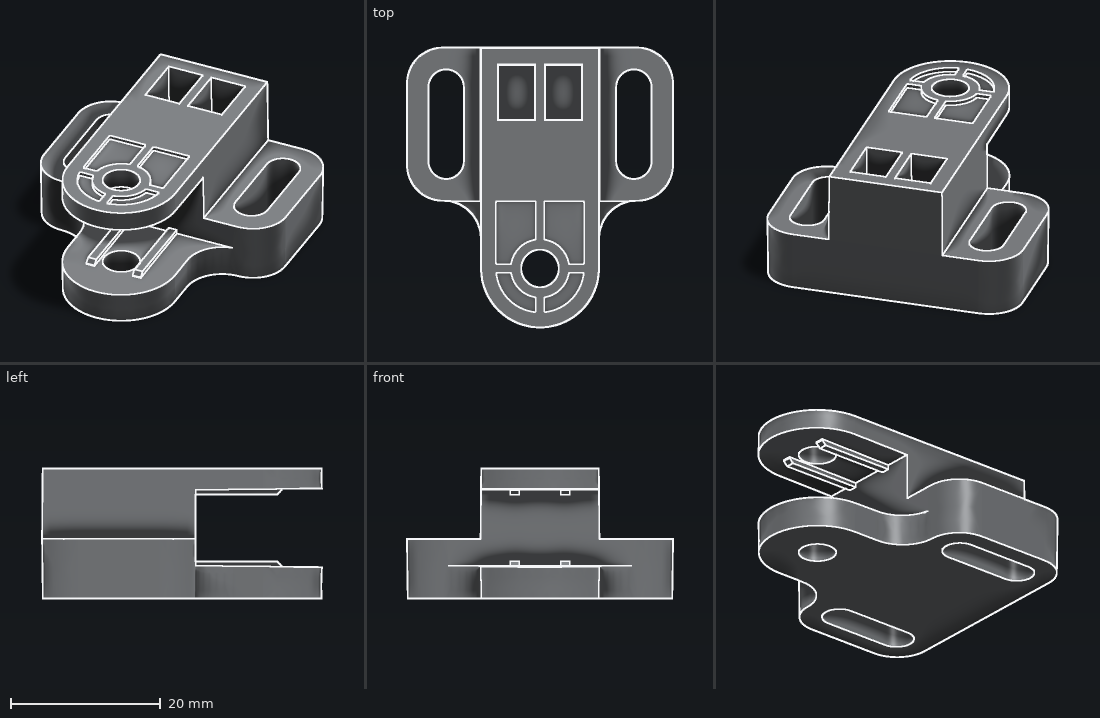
import cadquery as cq
import math


flange_height = 8.0
total_height = 17.4

flange_draft = 0.75
block_draft = 0.5

arm_radius = 7.95
bore_diameter = 5.0
back_y = 29.51

ear_half_width = 17.78
ear_front_y = 9.02
ear_corner_radius = 4.8
blend_radius = ear_half_width - ear_corner_radius - arm_radius
slot_offset_x = 12.53
slot_width = 4.7
slot_length = 14.6

gap_wall_y = 9.0
gap_wall_bottom = 4.4
gap_wall_top = 14.53
gap_draft = 0.6
gap_depth = 20.0

rail_inner_x = 2.8
rail_width = 1.2
rail_end_y = -bore_diameter / 2
rail_chamfer = 0.6
lower_rail_top = 4.98
upper_rail_bottom = 13.9
rail_embed = 0.5

pocket_inner_x = 0.63
pocket_width = 5.0
pocket_length = 7.45
pocket_back_margin = 2.27
pocket_draft = 0.5
pocket_depth = total_height - flange_height

recess_radius = 5.88
recess_depth = 0.6
recess_rib_width = 1.1
recess_hub_radius = 3.9
recess_corner_radius = 0.2


def tongue(radius, end_y):
    """Outline with a half-round front end centred on the bore and a square back end."""
    return (
        cq.Workplane("XY")
        .moveTo(-radius, 0)
        .threePointArc((0, -radius), (radius, 0))
        .lineTo(radius, end_y)
        .lineTo(-radius, end_y)
        .close()
    )


def make_flange():
    """Base plate: rounded ears blended into the lower arm, narrowing downward."""
    corner_x = ear_half_width - ear_corner_radius
    corner_front_y = ear_front_y + ear_corner_radius
    corner_back_y = back_y - ear_corner_radius
    blend_start_y = ear_front_y - blend_radius
    return (
        cq.Workplane("XY", origin=(0, 0, flange_height))
        .moveTo(-arm_radius, 0)
        .threePointArc((0, -arm_radius), (arm_radius, 0))
        .lineTo(arm_radius, blend_start_y)
        .tangentArcPoint((corner_x, ear_front_y), relative=False)
        .tangentArcPoint((ear_half_width, corner_front_y), relative=False)
        .lineTo(ear_half_width, corner_back_y)
        .tangentArcPoint((corner_x, back_y), relative=False)
        .lineTo(-corner_x, back_y)
        .tangentArcPoint((-ear_half_width, corner_back_y), relative=False)
        .lineTo(-ear_half_width, corner_front_y)
        .tangentArcPoint((-corner_x, ear_front_y), relative=False)
        .tangentArcPoint((-arm_radius, blend_start_y), relative=False)
        .close()
        .extrude(-flange_height, taper=flange_draft)
    )


def make_block():
    """Central block and upper arm, narrowing upward from the flange top."""
    block = tongue(arm_radius, back_y).extrude(total_height - flange_height, taper=block_draft)
    return block.translate((0, 0, flange_height))


def make_gap():
    """Wedge that separates the arms in front of the block."""
    open_y = gap_wall_y - gap_depth
    spread = gap_depth * math.tan(math.radians(gap_draft))
    return (
        cq.Workplane("YZ")
        .moveTo(gap_wall_y, gap_wall_bottom)
        .lineTo(gap_wall_y, gap_wall_top)
        .lineTo(open_y, gap_wall_top + spread)
        .lineTo(open_y, gap_wall_bottom - spread)
        .close()
        .extrude(ear_half_width, both=True)
    )


def make_rail(crest_z, root_z, side):
    """Straight rail with a 45 degree front end, running from the gap wall to the front of the bore."""
    rise = math.copysign(rail_chamfer, crest_z - root_z)
    rail = (
        cq.Workplane("YZ")
        .moveTo(gap_wall_y + rail_embed, root_z)
        .lineTo(gap_wall_y + rail_embed, crest_z)
        .lineTo(rail_end_y + rail_chamfer, crest_z)
        .lineTo(rail_end_y, crest_z - rise)
        .lineTo(rail_end_y, root_z)
        .close()
        .extrude(rail_width)
    )
    start_x = rail_inner_x if side > 0 else -rail_inner_x - rail_width
    return rail.translate((start_x, 0, 0))


def make_slots():
    """Mounting slots through both ears."""
    return (
        cq.Workplane("XY")
        .pushPoints([(side * slot_offset_x, (ear_front_y + back_y) / 2) for side in (-1, 1)])
        .slot2D(slot_length, slot_width, 90)
        .extrude(flange_height)
    )


def make_pockets():
    """Pair of blind rectangular pockets at the back of the block."""
    center_x = pocket_inner_x + pocket_width / 2
    center_y = back_y - pocket_back_margin - pocket_length / 2
    return (
        cq.Workplane("XY", origin=(0, 0, total_height))
        .pushPoints([(side * center_x, center_y) for side in (-1, 1)])
        .rect(pocket_width, pocket_length)
        .extrude(-pocket_depth, taper=pocket_draft)
    )


def make_recesses():
    """Four shallow recesses, left between the hub ring and a cross of ribs."""
    span = 2 * (recess_radius + gap_wall_y)
    recesses = (
        tongue(recess_radius, gap_wall_y)
        .extrude(recess_depth)
        .cut(cq.Workplane("XY").circle(recess_hub_radius).extrude(recess_depth))
        .cut(cq.Workplane("XY").rect(span, recess_rib_width).extrude(recess_depth))
        .cut(cq.Workplane("XY").rect(recess_rib_width, span).extrude(recess_depth))
        .edges("|Z")
        .fillet(recess_corner_radius)
    )
    return recesses.translate((0, 0, total_height - recess_depth))


body = make_flange().union(make_block()).cut(make_gap())
for side in (-1, 1):
    body = body.union(make_rail(lower_rail_top, gap_wall_bottom - rail_embed, side))
    body = body.union(make_rail(upper_rail_bottom, gap_wall_top + rail_embed, side))

bore = cq.Workplane("XY").circle(bore_diameter / 2).extrude(total_height)
result = body.cut(bore).cut(make_slots()).cut(make_pockets()).cut(make_recesses())